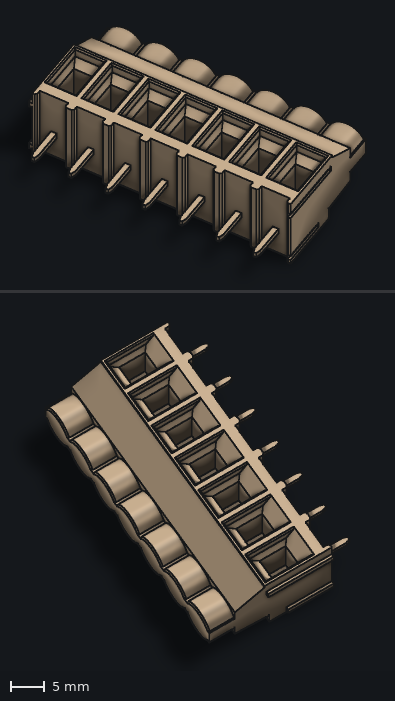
import cadquery as cq


POLES = 7
PITCH = 6.35
BODY_WIDTH = POLES * PITCH
POLE_CENTRES = [(pole + 0.5) * PITCH for pole in range(POLES)]

HEIGHT = 12.5
LEDGE_BACK_Y = 11.8
SLOPE_TOP_Z = 12.05
SHOULDER_Y = 17.0
SHOULDER_TOP_Z = 9.5
SHOULDER_BOTTOM_Z = 2.55
FOOT_BACK_Y = 10.95
FOOT_TOP_Z = 2.1

RIB_DEPTH = 1.0
RIB_WIDTH = 1.5
RIB_CHAMFER = 0.3

BACK_Y = 21.5
BARREL_RADIUS = 3.3
BARREL_Z = 6.0
BARREL_CHAMFER = 0.25
BAR_HEIGHT = 3.0

ENTRY_WIDTH = 5.5
ENTRY_FRONT_Y = 2.85
ENTRY_BACK_Y = 11.4
ENTRY_WALL_DEPTH = 1.65
FUNNEL_DEPTH = 2.4
ENTRY_CHAMFER = 0.25
WELL_WIDTH = 3.45
WELL_FRONT_Y = 4.95
WELL_BACK_Y = 9.5
WELL_FLOOR_Z = 4.0

PIN_LENGTH = 5.0
PIN_WIDTH = 1.0
PIN_THICKNESS = 0.9
PIN_Z = 4.6
PIN_TAPER_LENGTH = 0.85
PIN_TIP_WIDTH = 0.5

KEY_DEPTH = 0.55
KEY_HEAD_HEIGHT = 1.1
KEY_NECK_HEIGHT = 0.75
KEYS = [(9.95, 11.5), (1.2, 8.0)]


def make_housing():
    outline = [
        (0, 0),
        (FOOT_BACK_Y, 0),
        (FOOT_BACK_Y, FOOT_TOP_Z),
        (SHOULDER_Y, SHOULDER_BOTTOM_Z),
        (SHOULDER_Y, SHOULDER_TOP_Z),
        (LEDGE_BACK_Y, SLOPE_TOP_Z),
        (LEDGE_BACK_Y, HEIGHT),
        (0, HEIGHT),
    ]
    return cq.Workplane("YZ").polyline(outline).close().extrude(BODY_WIDTH)


def make_front_recess(centre_x):
    """Pocket between two ribs, flared at the mouth by the rib chamfers."""
    half_width = (PITCH - RIB_WIDTH) / 2
    half_mouth = half_width + RIB_CHAMFER
    outline = [
        (centre_x - half_mouth, 0),
        (centre_x - half_width, RIB_CHAMFER),
        (centre_x - half_width, RIB_DEPTH),
        (centre_x + half_width, RIB_DEPTH),
        (centre_x + half_width, RIB_CHAMFER),
        (centre_x + half_mouth, 0),
    ]
    return cq.Workplane("XY").polyline(outline).close().extrude(HEIGHT)


def make_barrels():
    """Chamfered screw barrels joined by a flat bar and trimmed to the body sides."""
    length = BACK_Y - SHOULDER_Y
    bar_bottom = BARREL_Z - BAR_HEIGHT / 2
    bar = cq.Workplane("XY").box(BODY_WIDTH, length, BAR_HEIGHT, centered=False)
    bar = bar.translate((0, SHOULDER_Y, bar_bottom))
    barrels = bar
    for centre_x in POLE_CENTRES:
        barrel = (
            cq.Workplane("XZ", origin=(centre_x, BACK_Y, BARREL_Z))
            .circle(BARREL_RADIUS)
            .extrude(length)
            .faces(">Y")
            .chamfer(BARREL_CHAMFER)
        )
        barrels = barrels.union(barrel)
    envelope = cq.Workplane("XY").box(BODY_WIDTH, BACK_Y, HEIGHT, centered=False)
    return barrels.intersect(envelope)


def make_tapered_pocket(top, bottom, top_z, bottom_z):
    """Loft between two level rectangles, each given as (centre X, width, front Y, back Y)."""
    pocket = cq.Workplane("XY").workplane(offset=bottom_z)
    for centre_x, width, front_y, back_y in [bottom, top]:
        corners = [
            (centre_x - width / 2, front_y),
            (centre_x + width / 2, front_y),
            (centre_x + width / 2, back_y),
            (centre_x - width / 2, back_y),
        ]
        pocket = pocket.polyline(corners).close().workplane(offset=top_z - bottom_z)
    return pocket.loft(ruled=True)


def make_wire_entry(centre_x):
    """Pocket with one sloping front wall; the other walls are chamfered at the mouth,
    then upright, then funnel inward to a rectangular well."""
    wall_width = ENTRY_WIDTH - 2 * ENTRY_CHAMFER
    wall_back_y = ENTRY_BACK_Y - ENTRY_CHAMFER
    front_slope = (WELL_FRONT_Y - ENTRY_FRONT_Y) / FUNNEL_DEPTH
    wall_top_front_y = ENTRY_FRONT_Y + front_slope * ENTRY_CHAMFER
    wall_foot_front_y = ENTRY_FRONT_Y + front_slope * ENTRY_WALL_DEPTH

    mouth = (centre_x, ENTRY_WIDTH, ENTRY_FRONT_Y, ENTRY_BACK_Y)
    wall_top = (centre_x, wall_width, wall_top_front_y, wall_back_y)
    wall_foot = (centre_x, wall_width, wall_foot_front_y, wall_back_y)
    well = (centre_x, WELL_WIDTH, WELL_FRONT_Y, WELL_BACK_Y)

    chamfer_z = HEIGHT - ENTRY_CHAMFER
    wall_z = HEIGHT - ENTRY_WALL_DEPTH
    funnel_z = HEIGHT - FUNNEL_DEPTH
    entry = make_tapered_pocket(mouth, wall_top, HEIGHT, chamfer_z)
    entry = entry.union(make_tapered_pocket(wall_top, wall_foot, chamfer_z, wall_z))
    entry = entry.union(make_tapered_pocket(wall_foot, well, wall_z, funnel_z))
    return entry.union(make_tapered_pocket(well, well, funnel_z, WELL_FLOOR_Z))


def make_pin(centre_x):
    half_width = PIN_WIDTH / 2
    half_tip = PIN_TIP_WIDTH / 2
    taper_y = PIN_TAPER_LENGTH - PIN_LENGTH
    outline = [
        (centre_x - half_width, RIB_DEPTH),
        (centre_x - half_width, taper_y),
        (centre_x - half_tip, -PIN_LENGTH),
        (centre_x + half_tip, -PIN_LENGTH),
        (centre_x + half_width, taper_y),
        (centre_x + half_width, RIB_DEPTH),
    ]
    plane = cq.Workplane("XY", origin=(0, 0, PIN_Z - PIN_THICKNESS / 2))
    return plane.polyline(outline).close().extrude(PIN_THICKNESS)


def make_key(side_x, centre_z, length):
    """Dovetail bar standing out to -X from the plane X = side_x."""
    half_head = KEY_HEAD_HEIGHT / 2
    half_neck = KEY_NECK_HEIGHT / 2
    outline = [
        (0, -half_neck),
        (-KEY_DEPTH, -half_head),
        (-KEY_DEPTH, half_head),
        (0, half_neck),
    ]
    plane = cq.Workplane("XZ", origin=(side_x, 0, centre_z))
    return plane.polyline(outline).close().extrude(-length)


result = make_housing().union(make_barrels())

for pole_x in POLE_CENTRES:
    result = result.cut(make_front_recess(pole_x))
    result = result.cut(make_wire_entry(pole_x))
    result = result.union(make_pin(pole_x))

for key_z, key_length in KEYS:
    result = result.union(make_key(0, key_z, key_length))
    result = result.cut(make_key(BODY_WIDTH, key_z, key_length))